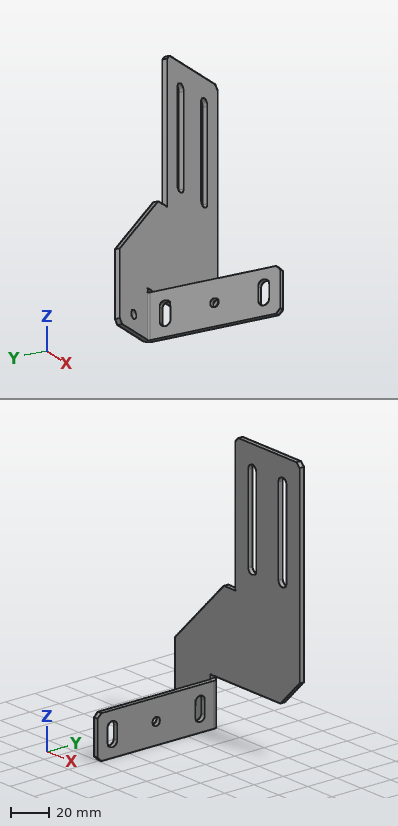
import cadquery as cq

width = 102.5
depth = 83.0
height = 168.0

thickness = 3.0
bend_radius = 0.7
outer_bend_radius = bend_radius + thickness
corner_chamfer = 2.5

foot_width = 29.2
notch_height = 29.2
column_left = 49.5
shoulder_height = 82.0
shoulder_chamfer = 40.2
elbow_chamfer = 15.8

slot_width = 6.5
long_slot_length = 61.5
long_slot_top_margin = 11.8
long_slot_positions = (63.5, 88.4)

hole_diameter = 5.0
foot_hole_x = foot_width / 2
foot_hole_z = 9.5

flange_height = 26.9
flange_left = foot_width + bend_radius
flange_right = flange_left + thickness
flange_end = -depth
flange_hole_from_end = 40.0
flange_slot_length = 14.6
flange_slot_offset = 29.9


def make_plate():
    """Flat plate with its back face on Y = 0."""
    outline = [
        (corner_chamfer, 0),
        (foot_width, 0),
        (foot_width, notch_height),
        (width - elbow_chamfer, notch_height),
        (width, notch_height + elbow_chamfer),
        (width, height - corner_chamfer),
        (width - corner_chamfer, height),
        (column_left + corner_chamfer, height),
        (column_left, height - corner_chamfer),
        (column_left, shoulder_height),
        (shoulder_chamfer, shoulder_height),
        (0, shoulder_height - shoulder_chamfer),
        (0, corner_chamfer),
    ]
    plate = cq.Workplane("XZ").polyline(outline).close().extrude(thickness)

    slot_z = height - long_slot_top_margin - long_slot_length / 2
    slots = (
        cq.Workplane("XZ")
        .pushPoints([(x, slot_z) for x in long_slot_positions])
        .slot2D(long_slot_length, slot_width, 90)
        .extrude(thickness)
    )
    hole = (
        cq.Workplane("XZ")
        .center(foot_hole_x, foot_hole_z)
        .circle(hole_diameter / 2)
        .extrude(thickness)
    )
    return plate.cut(slots).cut(hole)


def make_bend():
    """Quarter-round bend joining the plate to the flange."""
    return (
        cq.Workplane("XY")
        .moveTo(foot_width, 0)
        .radiusArc((flange_right, -outer_bend_radius), outer_bend_radius)
        .lineTo(flange_left, -outer_bend_radius)
        .radiusArc((foot_width, -thickness), -bend_radius)
        .close()
        .extrude(flange_height)
    )


def make_flange():
    """Flat flange with its free corners chamfered."""
    flange = (
        cq.Workplane("YZ", origin=(flange_left, 0, 0))
        .moveTo(-outer_bend_radius, 0)
        .lineTo(flange_end + corner_chamfer, 0)
        .lineTo(flange_end, corner_chamfer)
        .lineTo(flange_end, flange_height - corner_chamfer)
        .lineTo(flange_end + corner_chamfer, flange_height)
        .lineTo(-outer_bend_radius, flange_height)
        .close()
        .extrude(thickness)
    )
    hole_plane = cq.Workplane(
        "YZ", origin=(flange_left, flange_end + flange_hole_from_end, flange_height / 2)
    )
    hole = hole_plane.circle(hole_diameter / 2).extrude(thickness)
    slots = (
        hole_plane.pushPoints([(-flange_slot_offset, 0), (flange_slot_offset, 0)])
        .slot2D(flange_slot_length, slot_width, 90)
        .extrude(thickness)
    )
    return flange.cut(hole).cut(slots)


result = make_plate().union(make_bend()).union(make_flange())